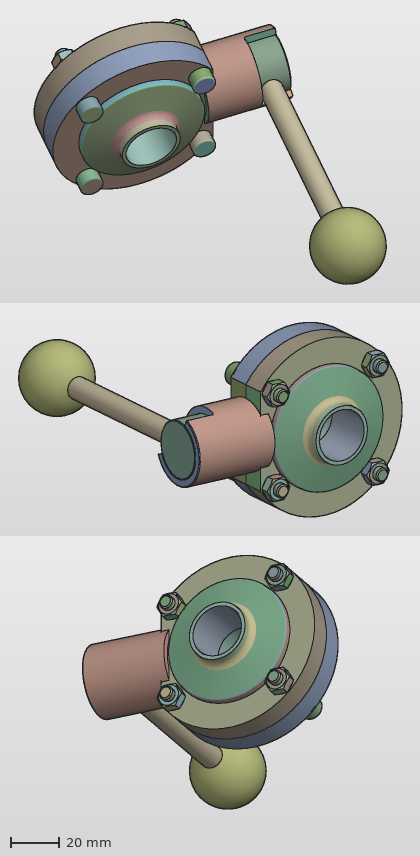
import cadquery as cq
import math


bore_dia = 22.5
pipe_wall = 1.65
pipe_dia = bore_dia + 2 * pipe_wall
pipe_end = 23.5
flange_dia = 78.0
flange_thickness = 11.0
flange_flat_y = 32.25
boss_dia = 55.0
boss_end = 14.0
cone_angle = 15.0
boss_round = 0.8
neck_round = 3.0

screw_dia = 6.0
screw_end = 19.0
screw_chamfer = 0.6
head_dia = 10.0
head_height = 6.0
head_round = 0.6
nut_width = 10.0
nut_height = 5.0
nut_face_dia = 9.2
nut_chamfer_angle = 30.0
screw_circle_radius = 33.6
plain_side_screw_angle = 45.0
lever_side_screw_angle = 38.4

shaft_end_y = 66.5
core_dia = 25.5
rod_dia = 10.0
rod_y = 57.5
ball_dia = 32.0
ball_x = 102.0

sleeve_dia = 32.0
sleeve_bore_dia = 25.6
sleeve_skirt_y = 28.5
end_chamfer = 0.4
lever_swing = 90.0
stop_corner_round = 1.0


def screw_positions():
    """Y and Z of the four screws; the pair on the lever side sits nearer the shaft."""
    places = []
    for y_side, angle in ((-1, plain_side_screw_angle), (1, lever_side_screw_angle)):
        y = y_side * screw_circle_radius * math.cos(math.radians(angle))
        z = screw_circle_radius * math.sin(math.radians(angle))
        places += [(y, z), (y, -z)]
    return places


def make_half_shell():
    """Flange, coned boss and weld neck on the +X side, with the flat for the lever shaft."""
    pipe_radius = pipe_dia / 2
    boss_radius = boss_dia / 2
    cone_end = boss_end + (boss_radius - pipe_radius) * math.tan(math.radians(cone_angle))
    shell = (
        cq.Workplane("XY")
        .moveTo(0, bore_dia / 2)
        .lineTo(0, flange_dia / 2)
        .lineTo(flange_thickness, flange_dia / 2)
        .lineTo(flange_thickness, boss_radius)
        .lineTo(boss_end, boss_radius)
        .lineTo(cone_end, pipe_radius)
        .lineTo(pipe_end, pipe_radius)
        .lineTo(pipe_end, bore_dia / 2)
        .close()
        .revolve(360, (0, 0, 0), (1, 0, 0))
    )
    shell = shell.edges(cq.NearestToPointSelector((boss_end, 0, 0))).fillet(boss_round)
    shell = shell.edges(cq.NearestToPointSelector((cone_end, 0, 0))).fillet(neck_round)
    beyond_flat = cq.Workplane("XY").box(
        2 * flange_thickness, flange_dia, flange_dia, centered=(True, False, True)
    )
    return shell.cut(beyond_flat.translate((0, flange_flat_y, 0)))


def make_screw_head():
    """Cylinder head standing on the +X flange face."""
    return (
        cq.Workplane("YZ", origin=(flange_thickness, 0, 0))
        .circle(head_dia / 2)
        .extrude(head_height)
        .faces(">X")
        .edges().fillet(head_round)
    )


def make_nut_and_screw_end():
    """Hexagon nut, bevelled on both faces, with the screw end through it, on the -X flange face."""
    corner_radius = nut_width / 2 / math.cos(math.radians(30))
    bevel_drop = (corner_radius - nut_face_dia / 2) * math.tan(math.radians(nut_chamfer_angle))
    seat = cq.Workplane("YZ", origin=(-flange_thickness, 0, 0))
    nut = seat.polygon(6, 2 * corner_radius).extrude(-nut_height)
    bevelled_disc = (
        cq.Workplane("XY")
        .moveTo(0, 0)
        .lineTo(0, nut_face_dia / 2)
        .lineTo(bevel_drop, corner_radius)
        .lineTo(nut_height - bevel_drop, corner_radius)
        .lineTo(nut_height, nut_face_dia / 2)
        .lineTo(nut_height, 0)
        .close()
        .revolve(360, (0, 0, 0), (1, 0, 0))
        .translate((-flange_thickness - nut_height, 0, 0))
    )
    screw_tip = (
        seat.circle(screw_dia / 2)
        .extrude(flange_thickness - screw_end)
        .faces("<X")
        .chamfer(screw_chamfer)
    )
    return nut.intersect(bevelled_disc).union(screw_tip)


def make_body_half(shell, fastener):
    """One body half with its share of the four fasteners."""
    half = shell
    for y, z in screw_positions():
        half = half.union(fastener.translate((0, y, z)))
    return half


def make_stop_slot():
    """Sector cut that lets the rod swing through the lever's travel, open at the sleeve end."""
    inner = sleeve_bore_dia / 4
    outer = sleeve_dia
    rod_half_angle = math.degrees(math.asin(rod_dia / core_dia))
    first = -rod_half_angle
    last = lever_swing + rod_half_angle

    def at(radius, angle):
        turn = math.radians(angle)
        return (radius * math.cos(turn), radius * math.sin(turn))

    middle = (first + last) / 2
    floor_y = rod_y - rod_dia / 2
    slot = (
        cq.Workplane("XZ", origin=(0, floor_y, 0))
        .moveTo(*at(inner, first))
        .lineTo(*at(outer, first))
        .threePointArc(at(outer, middle), at(outer, last))
        .lineTo(*at(inner, last))
        .threePointArc(at(inner, middle), at(inner, first))
        .close()
        .extrude(floor_y - shaft_end_y - end_chamfer)
    )
    return slot.faces("<Y").edges("%LINE").fillet(stop_corner_round)


def make_sleeve():
    """Stop sleeve that straddles the flanges below their flat."""
    sleeve = (
        cq.Workplane("XZ", origin=(0, sleeve_skirt_y, 0))
        .circle(sleeve_dia / 2)
        .extrude(sleeve_skirt_y - shaft_end_y)
        .faces(">Y")
        .chamfer(end_chamfer)
    )
    bore = (
        cq.Workplane("XZ", origin=(0, sleeve_skirt_y, 0))
        .circle(sleeve_bore_dia / 2)
        .extrude(sleeve_skirt_y - shaft_end_y)
    )
    flange_gap = cq.Workplane("XY").box(
        2 * flange_thickness, flange_flat_y, sleeve_dia, centered=(True, False, True)
    )
    return sleeve.cut(bore).cut(flange_gap).cut(make_stop_slot())


def make_handle():
    """Shaft core standing on the flange flat, with the rod fixed in it."""
    core = (
        cq.Workplane("XZ", origin=(0, flange_flat_y, 0))
        .circle(core_dia / 2)
        .extrude(flange_flat_y - shaft_end_y)
        .faces(">Y")
        .chamfer(end_chamfer)
    )
    rod = cq.Workplane("YZ").center(rod_y, 0).circle(rod_dia / 2).extrude(ball_x)
    return core.union(rod)


def make_ball(handle):
    """Ball knob with a blind hole that fits the rod end."""
    return cq.Workplane("XY").sphere(ball_dia / 2).translate((ball_x, rod_y, 0)).cut(handle)


half_shell = make_half_shell()
head_half = make_body_half(half_shell, make_screw_head())
nut_half = make_body_half(half_shell.mirror("YZ"), make_nut_and_screw_end())
sleeve = make_sleeve()
handle = make_handle()
ball = make_ball(handle)

result = cq.Compound.makeCompound(
    [head_half.val(), nut_half.val(), sleeve.val(), handle.val(), ball.val()]
)